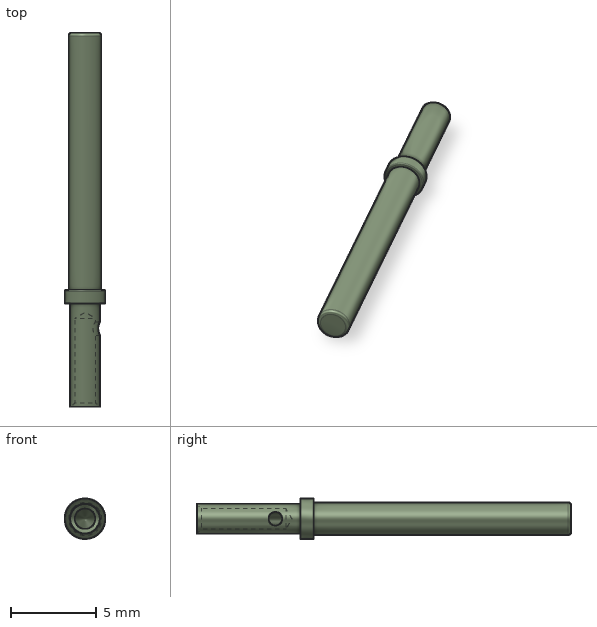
import cadquery as cq
import math

total_length = 21.92
barrel_length = 6.05
barrel_radius = 0.88
collar_length = 0.8
collar_radius = 1.195
collar_edge_radius = 0.07
pin_radius = 0.965
pin_tip_radius = 0.2

bore_radius = 0.6
bore_depth = 5.2
mouth_radius = 0.86
mouth_angle = 90.0
drill_point_angle = 118.0

inspection_radius = 0.4
inspection_from_end = 4.6


def rod(radius, start, length):
    """Cylinder on the Y axis, from `start` towards +Y."""
    return cq.Workplane("XZ", origin=(0, start, 0)).circle(radius).extrude(-length)


def make_body():
    """Outside of the pin, before the holes are cut."""
    barrel = rod(barrel_radius, 0, barrel_length)
    collar = rod(collar_radius, barrel_length, collar_length).edges().fillet(collar_edge_radius)
    pin = rod(pin_radius, barrel_length, total_length - barrel_length)
    pin = pin.faces(">Y").edges().fillet(pin_tip_radius)
    return barrel.union(collar).union(pin)


def make_bore():
    """Blind bore with a flared mouth and a conical drill point."""
    mouth_depth = (mouth_radius - bore_radius) / math.tan(math.radians(mouth_angle / 2))
    point_depth = bore_radius / math.tan(math.radians(drill_point_angle / 2))
    return (
        cq.Workplane("XY")
        .lineTo(mouth_radius, 0)
        .lineTo(bore_radius, mouth_depth)
        .lineTo(bore_radius, bore_depth)
        .lineTo(0, bore_depth + point_depth)
        .close()
        .revolve(360, (0, 0, 0), (0, 1, 0))
    )


def make_inspection_hole():
    """Radial hole from the bore axis out through the +X wall."""
    plane = cq.Workplane("YZ", origin=(0, inspection_from_end, 0))
    return plane.circle(inspection_radius).extrude(collar_radius)


result = make_body().cut(make_bore()).cut(make_inspection_hole())